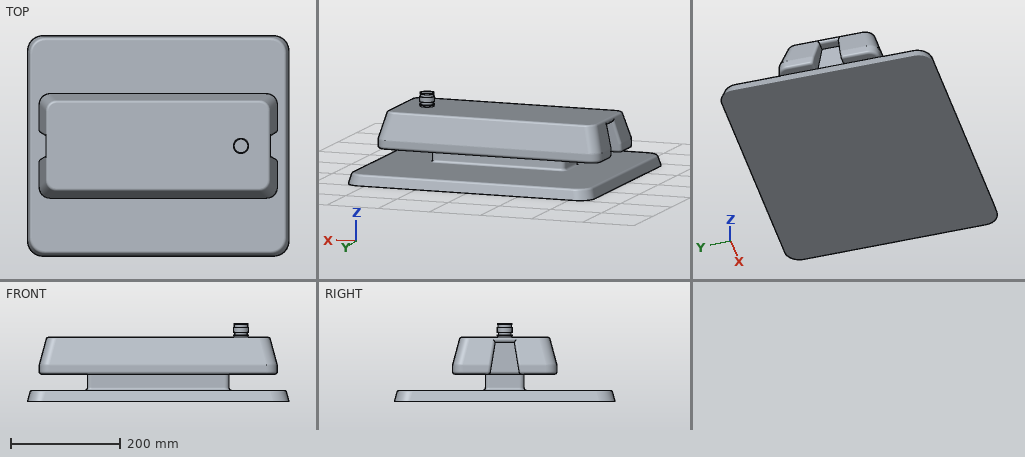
import cadquery as cq
import math

DRAFT_ANGLE = 15.0
EDGE_RADIUS = 5.0

SELECTION_MARGIN = 1.0

PLATE_LENGTH = 480.0
PLATE_WIDTH = 405.0
PLATE_HEIGHT = 20.5
PLATE_CORNER_RADIUS = 30.0
PLATE_FOOT_RADIUS = 0.5

NECK_LENGTH = 260.0
NECK_WIDTH = 71.5
NECK_CORNER_RADIUS = 8.0
NECK_ROOT_RADIUS = 5.0

HOUSING_LENGTH = 436.8
HOUSING_WIDTH = 191.8
HOUSING_BOTTOM = 50.0
HOUSING_HEIGHT = 68.0
HOUSING_TOP = HOUSING_BOTTOM + HOUSING_HEIGHT
HOUSING_CORNER_RADIUS = 20.0
SKIRT_HEIGHT = 16.0
SHOULDER_HEIGHT = 1.4
SHOULDER_ANGLE = DRAFT_ANGLE / 2
COVER_HEIGHT = HOUSING_HEIGHT - SKIRT_HEIGHT - SHOULDER_HEIGHT

NOTCH_DEPTH = 30.0
NOTCH_ROOF_THICKNESS = 2 * EDGE_RADIUS
NOTCH_FLOOR_WIDTH = 54.0
NOTCH_SIDE_ANGLE = 9.3
NOTCH_HEIGHT = HOUSING_HEIGHT - NOTCH_ROOF_THICKNESS
NOTCH_CEILING_WIDTH = NOTCH_FLOOR_WIDTH - 2 * NOTCH_HEIGHT * math.tan(math.radians(NOTCH_SIDE_ANGLE))
LIP_CLEARANCE = 0.02
NOTCH_RIM_RADIUS = EDGE_RADIUS - LIP_CLEARANCE

CONNECTOR_X = 151.7
CONNECTOR_TOP = 143.45
RING_RADIUS = 27.6 / 2
CAP_RADIUS = 13.0
CAP_GROOVE_RADIUS = 12.5
GROOVE_RADIUS = 11.5
FOOT_HEIGHT = 2.7
FLANGE_HEIGHT = 1.0
GROOVE_HEIGHT = 5.0
RING_HEIGHT = 9.5
CAP_GROOVE_HEIGHT = 5.0


def extrude_on_top(body, height, draft):
    return body.faces(">Z").wires().toPending().extrude(height, taper=draft, combine=False)


def make_plate():
    plate = cq.Workplane("XY").rect(PLATE_LENGTH, PLATE_WIDTH).extrude(PLATE_HEIGHT, taper=DRAFT_ANGLE)
    plate = plate.edges("not(#Z)").fillet(PLATE_CORNER_RADIUS)
    plate = plate.faces(">Z").edges().fillet(EDGE_RADIUS)
    return plate.faces("<Z").edges().fillet(PLATE_FOOT_RADIUS)


def make_neck():
    neck = cq.Workplane("XY", origin=(0, 0, PLATE_HEIGHT)).rect(NECK_LENGTH, NECK_WIDTH)
    neck = neck.extrude(HOUSING_BOTTOM - PLATE_HEIGHT)
    return neck.edges("|Z").fillet(NECK_CORNER_RADIUS)


def join_neck_to_plate(plate, neck):
    half_length = NECK_LENGTH / 2 + SELECTION_MARGIN
    half_width = NECK_WIDTH / 2 + SELECTION_MARGIN
    root = cq.selectors.BoxSelector(
        (-half_length, -half_width, PLATE_HEIGHT - SELECTION_MARGIN),
        (half_length, half_width, PLATE_HEIGHT + SELECTION_MARGIN),
    )
    return plate.union(neck).edges(root).fillet(NECK_ROOT_RADIUS)


def make_housing_block():
    skirt = cq.Workplane("XY", origin=(0, 0, HOUSING_BOTTOM)).rect(HOUSING_LENGTH, HOUSING_WIDTH)
    skirt = skirt.extrude(SKIRT_HEIGHT)
    shoulder = extrude_on_top(skirt, SHOULDER_HEIGHT, SHOULDER_ANGLE)
    cover = extrude_on_top(shoulder, COVER_HEIGHT, DRAFT_ANGLE)
    block = skirt.union(shoulder).union(cover)
    block = block.edges("not(#Z)").fillet(HOUSING_CORNER_RADIUS)
    return block.faces(">Z").edges().fillet(EDGE_RADIUS)


def cut_notch(housing, side):
    half_floor = NOTCH_FLOOR_WIDTH / 2
    half_ceiling = NOTCH_CEILING_WIDTH / 2
    ceiling_z = HOUSING_BOTTOM + NOTCH_HEIGHT
    back_wall_x = side * (HOUSING_LENGTH / 2 - NOTCH_DEPTH)
    outline = [
        (-half_floor, HOUSING_BOTTOM),
        (half_floor, HOUSING_BOTTOM),
        (half_ceiling, ceiling_z),
        (-half_ceiling, ceiling_z),
    ]
    cutter = cq.Workplane("YZ", origin=(back_wall_x, 0, 0)).polyline(outline).close()
    return housing.cut(cutter.extrude(side * NOTCH_DEPTH))


def round_notch_rim(housing, side):
    """Round the edges where the notch sides and ceiling meet the end of the housing."""
    half_width = NOTCH_FLOOR_WIDTH / 2
    inner_x = side * (HOUSING_LENGTH / 2 - NOTCH_DEPTH / 2)
    outer_x = side * (HOUSING_LENGTH / 2 + SELECTION_MARGIN)
    rim = cq.selectors.BoxSelector(
        (min(inner_x, outer_x), -half_width, HOUSING_BOTTOM + SELECTION_MARGIN),
        (max(inner_x, outer_x), half_width, HOUSING_BOTTOM + NOTCH_HEIGHT + SELECTION_MARGIN),
    )
    return housing.edges(rim).fillet(NOTCH_RIM_RADIUS)


def make_housing():
    housing = make_housing_block()
    for side in (-1, 1):
        housing = cut_notch(housing, side)
        housing = round_notch_rim(housing, side)
    return housing.faces("<Z").edges().fillet(EDGE_RADIUS)


def make_connector():
    flange_z = HOUSING_TOP + FOOT_HEIGHT
    groove_z = flange_z + FLANGE_HEIGHT
    ring_z = groove_z + GROOVE_HEIGHT
    cap_groove_z = ring_z + RING_HEIGHT
    cap_z = cap_groove_z + CAP_GROOVE_HEIGHT
    sections = [
        (CAP_RADIUS, HOUSING_TOP, flange_z),
        (RING_RADIUS, flange_z, groove_z),
        (GROOVE_RADIUS, groove_z, ring_z),
        (RING_RADIUS, ring_z, cap_groove_z),
        (CAP_GROOVE_RADIUS, cap_groove_z, cap_z),
        (CAP_RADIUS, cap_z, CONNECTOR_TOP),
    ]
    connector = cq.Workplane("XY")
    for radius, bottom, top in sections:
        disc = cq.Workplane("XY", origin=(CONNECTOR_X, 0, bottom)).circle(radius).extrude(top - bottom)
        connector = connector.union(disc)
    return connector


stand = join_neck_to_plate(make_plate(), make_neck())
result = stand.union(make_housing()).union(make_connector())